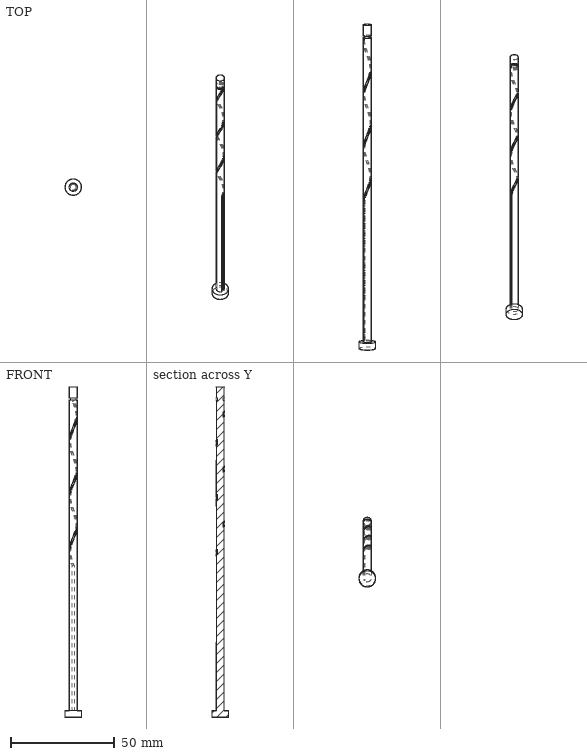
import cadquery as cq

total_height = 160.0
head_diameter = 8.0
head_height = 3.4
rod_diameter = 4.0
rod_radius = rod_diameter / 2

tip_length = 5.5
neck_height = 1.0
neck_diameter = 2.7
neck_top = total_height - tip_length
neck_bottom = neck_top - neck_height

channel_width = 0.8
channel_depth = 0.6
spiral_drop = 0.5
spiral_pitch = 26.5
spiral_turns = 3
spiral_height = spiral_turns * spiral_pitch
spiral_top = neck_bottom - spiral_drop
spiral_bottom = spiral_top - spiral_height

straight_width = 1.1

cutter_overlap = 0.3


def make_body():
    """Headed pin with a ring groove below its tip."""
    head = cq.Workplane("XY").circle(head_diameter / 2).extrude(head_height)
    rod = cq.Workplane("XY").circle(rod_radius).extrude(total_height)
    ring = (
        cq.Workplane("XY")
        .workplane(offset=neck_bottom)
        .circle(rod_radius + cutter_overlap)
        .circle(neck_diameter / 2)
        .extrude(neck_height)
    )
    return head.union(rod.cut(ring))


def make_spiral_cutter():
    """Rectangular profile, square to the helix, swept from the channel's lower end."""
    path = cq.Wire.makeHelix(spiral_pitch, spiral_height, rod_radius)
    profile_plane = cq.Plane(
        origin=path.startPoint(), xDir=(1, 0, 0), normal=path.tangentAt(0)
    )
    radial_size = channel_depth + cutter_overlap
    cutter = (
        cq.Workplane(profile_plane)
        .center((cutter_overlap - channel_depth) / 2, 0)
        .rect(radial_size, channel_width)
        .sweep(cq.Workplane(path), isFrenet=True)
    )
    return cutter.rotate((0, 0, 0), (0, 0, 1), 90).translate((0, 0, spiral_bottom))


def make_straight_cutter():
    """Straight run on the +Y side, from the end of the spiral down to the head."""
    return cq.Workplane("XY").box(
        straight_width,
        channel_depth + cutter_overlap,
        spiral_bottom - head_height,
        centered=(True, False, False),
    ).translate((0, rod_radius - channel_depth, head_height))


result = make_body().cut(make_spiral_cutter()).cut(make_straight_cutter())